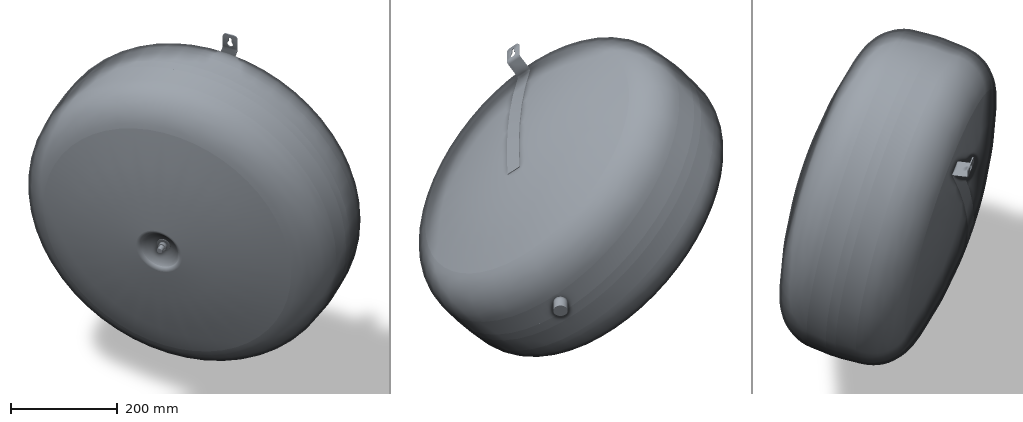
import cadquery as cq
import math


OUTER_DEPTH = 328.0
STRAP_THICKNESS = 2.0
RIM_DROP = 1.0

TANK_RADIUS = 316.0
BAND_HALF_WIDTH = 10.0
TAPER_END_RADIUS = 313.0
TAPER_END_Y = 49.0
DOME_EDGE_RADIUS = 254.5
DOME_EDGE_Y = 125.0
DOME_APEX_Y = (OUTER_DEPTH - STRAP_THICKNESS + RIM_DROP) / 2
DOME_RISE = DOME_APEX_Y - DOME_EDGE_Y
DOME_SPHERE_RADIUS = (DOME_EDGE_RADIUS**2 + DOME_RISE**2) / (2 * DOME_RISE)
DOME_CENTER_Y = DOME_APEX_Y - DOME_SPHERE_RADIUS

RIM_RADIUS = math.sqrt(RIM_DROP * (2 * DOME_SPHERE_RADIUS - RIM_DROP))
RIM_Y = DOME_APEX_Y - RIM_DROP
LIP_INNER_RADIUS = 38.5
LIP_DEPTH = 5.0
BOWL_DEPTH = 23.5
BOWL_BOTTOM_Y = RIM_Y - BOWL_DEPTH
BOWL_RISE = BOWL_DEPTH - LIP_DEPTH
BOWL_SPHERE_RADIUS = (LIP_INNER_RADIUS**2 + BOWL_RISE**2) / (2 * BOWL_RISE)

COLLAR_DIAMETER = 27.0
COLLAR_HEIGHT = 4.0
NUT_RADIUS = 8.0
NUT_HEIGHT = 6.5
STEM_RADIUS = 5.0
STEM_HEIGHT = 12.0
PIN_RADIUS = 1.65

NOZZLE_DIAMETER = 27.0
NOZZLE_Y = 30.0
NOZZLE_LENGTH = 22.0

STRAP_WIDTH = 30.0
STRAP_BOTTOM_Z = -59.0
FOOT_END_Z = 228.0
PLATE_BOTTOM_Z = 247.0
PLATE_TOP_Z = 282.0
BEND_SETBACK = 4.0
PLATE_CORNER_RADIUS = 8.0
KEYHOLE_RADIUS = 6.0
KEYHOLE_Z = 259.5
SLOT_WIDTH = 6.0
SLOT_TOP_Z = 275.0


def sphere_y(radius, sphere_radius, center_y):
    """Y of a sphere on the tank axis, at a distance `radius` from that axis."""
    return center_y + math.sqrt(sphere_radius**2 - radius**2)


def revolve_on_tank_axis(profile):
    return profile.close().revolve(360, (0, 0, 0), (0, 1, 0))


def knuckle_middle(tangent):
    """Middle of the knuckle arc that leaves the dome edge along `tangent`."""
    chord_x = TAPER_END_RADIUS - DOME_EDGE_RADIUS
    chord_y = TAPER_END_Y - DOME_EDGE_Y
    chord = math.hypot(chord_x, chord_y)
    half_turn = math.atan2(tangent[1], tangent[0]) - math.atan2(chord_y, chord_x)
    bulge = chord / 2 * math.tan(half_turn / 2)
    return (
        (DOME_EDGE_RADIUS + TAPER_END_RADIUS) / 2 - bulge * chord_y / chord,
        (DOME_EDGE_Y + TAPER_END_Y) / 2 + bulge * chord_x / chord,
    )


def shell_side_profile():
    """Open outline of half a tank: the joint with the band, the taper and the knuckle."""
    dome_slope = math.asin(DOME_EDGE_RADIUS / DOME_SPHERE_RADIUS)
    knuckle_tangent = (math.cos(dome_slope), -math.sin(dome_slope))
    return (
        cq.Workplane("XY")
        .moveTo(0, BAND_HALF_WIDTH)
        .lineTo(TANK_RADIUS, BAND_HALF_WIDTH)
        .lineTo(TAPER_END_RADIUS, TAPER_END_Y)
        .threePointArc(knuckle_middle(knuckle_tangent), (DOME_EDGE_RADIUS, DOME_EDGE_Y))
    )


def make_rear_shell():
    middle_radius = DOME_EDGE_RADIUS / 2
    middle_y = sphere_y(middle_radius, DOME_SPHERE_RADIUS, DOME_CENTER_Y)
    profile = shell_side_profile().threePointArc((middle_radius, middle_y), (0, DOME_APEX_Y))
    return revolve_on_tank_axis(profile)


def make_front_shell():
    """Mirror image of the rear shell with the lipped valve bowl in the middle of its dome."""
    dome_middle_radius = (DOME_EDGE_RADIUS + RIM_RADIUS) / 2
    dome_middle_y = sphere_y(dome_middle_radius, DOME_SPHERE_RADIUS, DOME_CENTER_Y)
    bowl_center_y = BOWL_BOTTOM_Y + BOWL_SPHERE_RADIUS
    bowl_middle_radius = LIP_INNER_RADIUS / 2
    bowl_middle_y = 2 * bowl_center_y - sphere_y(bowl_middle_radius, BOWL_SPHERE_RADIUS, bowl_center_y)
    profile = (
        shell_side_profile()
        .threePointArc((dome_middle_radius, dome_middle_y), (RIM_RADIUS, RIM_Y))
        .tangentArcPoint((LIP_INNER_RADIUS, RIM_Y - LIP_DEPTH), relative=False)
        .threePointArc((bowl_middle_radius, bowl_middle_y), (0, BOWL_BOTTOM_Y))
    )
    return revolve_on_tank_axis(profile).mirror("XZ")


def make_band():
    return (
        cq.Workplane("XZ", origin=(0, BAND_HALF_WIDTH, 0))
        .circle(TANK_RADIUS)
        .extrude(2 * BAND_HALF_WIDTH)
    )


def make_valve_disc(radius, height, base_height):
    """Round valve body whose base is `base_height` above the bowl bottom, pointing to -Y."""
    base_y = -(BOWL_BOTTOM_Y + base_height)
    return cq.Workplane("XZ", origin=(0, base_y, 0)).circle(radius).extrude(height)


def make_nozzle(shell):
    """Pipe stub below the tank, cut to fit the shell."""
    reach_into_shell = NOZZLE_DIAMETER
    return (
        cq.Workplane("XY", origin=(0, NOZZLE_Y, -TANK_RADIUS - NOZZLE_LENGTH))
        .circle(NOZZLE_DIAMETER / 2)
        .extrude(NOZZLE_LENGTH + reach_into_shell)
        .cut(shell)
    )


def make_bracket():
    """Strap swept along its center line, from the keyhole plate down to the foot on the dome."""
    center_radius = DOME_SPHERE_RADIUS + STRAP_THICKNESS / 2
    plate_y = DOME_APEX_Y + STRAP_THICKNESS / 2
    bottom = (sphere_y(STRAP_BOTTOM_Z, center_radius, DOME_CENTER_Y), STRAP_BOTTOM_Z)
    foot_end = (sphere_y(FOOT_END_Z, center_radius, DOME_CENTER_Y), FOOT_END_Z)
    foot_slope = math.asin(FOOT_END_Z / center_radius)
    foot_corner = (
        foot_end[0] - BEND_SETBACK * math.sin(foot_slope),
        foot_end[1] + BEND_SETBACK * math.cos(foot_slope),
    )
    plate_bottom = (plate_y, PLATE_BOTTOM_Z)
    plate_top = (plate_y, PLATE_TOP_Z)
    path = (
        cq.Workplane("YZ")
        .moveTo(*plate_top)
        .lineTo(*point_towards(plate_bottom, plate_top))
        .tangentArcPoint(point_towards(plate_bottom, foot_corner), relative=False)
        .lineTo(*point_towards(foot_corner, plate_bottom))
        .tangentArcPoint(foot_end, relative=False)
        .threePointArc((plate_y, 0), bottom)
    )
    section = cq.Workplane("XY", origin=(0, *plate_top)).rect(STRAP_WIDTH, STRAP_THICKNESS)
    strap = section.sweep(path)
    plate_corners = strap.edges("|Y").edges(">Z")
    return plate_corners.fillet(PLATE_CORNER_RADIUS).cut(make_keyhole())


def point_towards(start, end):
    """Point at the bend setback from `start` on the way to `end`."""
    share = BEND_SETBACK / math.dist(start, end)
    return (start[0] + share * (end[0] - start[0]), start[1] + share * (end[1] - start[1]))


def make_keyhole():
    """Round hole with a narrower slot above it, through the upright plate."""
    slot_height = SLOT_TOP_Z - SLOT_WIDTH / 2 - KEYHOLE_Z
    wall = cq.Workplane("XZ", origin=(0, DOME_APEX_Y, KEYHOLE_Z))
    depth = 2 * STRAP_THICKNESS
    hole = wall.circle(KEYHOLE_RADIUS).extrude(depth, both=True)
    slot = wall.center(0, slot_height / 2).rect(SLOT_WIDTH, slot_height).extrude(depth, both=True)
    slot_end = wall.center(0, slot_height).circle(SLOT_WIDTH / 2).extrude(depth, both=True)
    return hole.union(slot).union(slot_end)


band = make_band()
rear_shell = make_rear_shell()
collar = make_valve_disc(COLLAR_DIAMETER / 2, COLLAR_HEIGHT, 0)
nut = make_valve_disc(NUT_RADIUS, NUT_HEIGHT, COLLAR_HEIGHT)
stem_base = COLLAR_HEIGHT + NUT_HEIGHT
pin = make_valve_disc(PIN_RADIUS, STEM_HEIGHT, stem_base)
stem = make_valve_disc(STEM_RADIUS, STEM_HEIGHT, stem_base).cut(pin)
front_shell = make_front_shell().cut(collar)
nozzle = make_nozzle(rear_shell)
bracket = make_bracket()

bodies = [band, rear_shell, front_shell, collar, nut, stem, pin, nozzle, bracket]
result = cq.Compound.makeCompound([body.solids().val() for body in bodies])